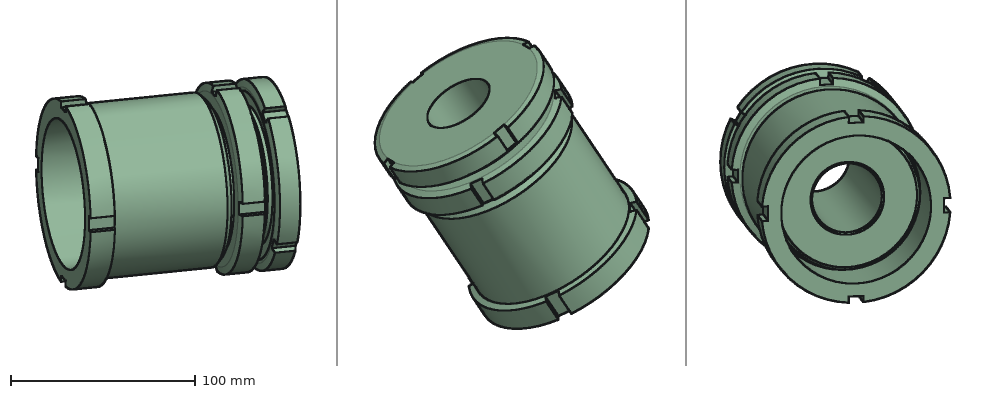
import cadquery as cq

TOTAL_LENGTH = 119.8
NOTCH_COUNT = 4
NOTCH_PITCH = 360.0 / NOTCH_COUNT
NOTCH_OVERCUT = 1.2
COLLAR_RADIUS = 52.5
THREAD_RADIUS = 40.4

SLEEVE_LENGTH = 82.1
SLEEVE_RADIUS = 47.9
SLEEVE_CHAMFER = 3.2
FLANGE_RADIUS = 52.3
FLANGE_WIDTH = 14.7
FLANGE_BEVEL = 1.0
FLANGE_FACE_RADIUS = 48.5
FLANGE_NOTCH_WIDTH = 8.0
FLANGE_NOTCH_FLOOR = 48.7
POCKET_RADIUS = 41.5
POCKET_DEPTH = 31.2

RING_START = 84.9
RING_WIDTH = 15.2
COLLAR_FACE_RADIUS = 48.2
COLLAR_BEVEL = 1.3
COLLAR_NOTCH_WIDTH = 7.2
COLLAR_NOTCH_FLOOR = 49.0

HEAD_WIDTH = 13.9
HEAD_FACE_RADIUS = 49.0
HEAD_REAR_BEVEL = 1.0
HEAD_RECESS_RADIUS = 46.3
HEAD_RECESS_DEPTH = 1.2
HEAD_NOTCH_ANGLE = 31.0
SPINDLE_START = 25.5
SPINDLE_CHAMFER = 1.8
NECK_RADIUS = 38.5
NECK_STEP_RADIUS = 38.8
NECK_WIDTH = 1.4
NECK_STEP_WIDTH = 1.0
NECK_RUNOUT = 1.0
BORE_RADIUS = 19.3
BORE_CHAMFER = 1.1


def revolve_about_y(profile):
    """Turn a closed (radius, y) outline about the Y axis."""
    return cq.Workplane("XY").polyline(profile).close().revolve(360, (0, 0, 0), (0, 1, 0))


def cut_notches(body, width, floor_radius, start, end, first_angle=0.0):
    """Cut axial notches around a rim, from the floor radius outward."""
    depth = COLLAR_RADIUS - floor_radius + NOTCH_OVERCUT
    for index in range(NOTCH_COUNT):
        notch = (
            cq.Workplane("XY")
            .box(width, end - start, depth, centered=(True, False, False))
            .translate((0, start, floor_radius))
            .rotate((0, 0, 0), (0, 1, 0), first_angle + index * NOTCH_PITCH)
        )
        body = body.cut(notch)
    return body


def make_sleeve():
    """Flanged sleeve with an open pocket in front of its threaded bore."""
    sleeve = revolve_about_y([
        (POCKET_RADIUS, 0),
        (FLANGE_RADIUS, 0),
        (FLANGE_RADIUS, FLANGE_WIDTH - FLANGE_BEVEL),
        (FLANGE_FACE_RADIUS, FLANGE_WIDTH),
        (SLEEVE_RADIUS, FLANGE_WIDTH),
        (SLEEVE_RADIUS, SLEEVE_LENGTH - SLEEVE_CHAMFER),
        (SLEEVE_RADIUS - SLEEVE_CHAMFER, SLEEVE_LENGTH),
        (THREAD_RADIUS, SLEEVE_LENGTH),
        (THREAD_RADIUS, POCKET_DEPTH),
        (POCKET_RADIUS, POCKET_DEPTH),
    ])
    return cut_notches(sleeve, FLANGE_NOTCH_WIDTH, FLANGE_NOTCH_FLOOR, 0, FLANGE_WIDTH)


def make_lock_ring():
    """Notched ring on the shank, bevelled on both faces."""
    end = RING_START + RING_WIDTH
    ring = revolve_about_y([
        (THREAD_RADIUS, RING_START),
        (COLLAR_FACE_RADIUS, RING_START),
        (COLLAR_RADIUS, RING_START + COLLAR_BEVEL),
        (COLLAR_RADIUS, end - COLLAR_BEVEL),
        (COLLAR_FACE_RADIUS, end),
        (THREAD_RADIUS, end),
    ])
    return cut_notches(ring, COLLAR_NOTCH_WIDTH, COLLAR_NOTCH_FLOOR, RING_START, end)


def make_spindle():
    """Hollow shank with a stepped undercut neck and a notched head recessed around the neck."""
    head_start = TOTAL_LENGTH - HEAD_WIDTH
    neck_start = head_start - NECK_WIDTH
    step_start = neck_start - NECK_STEP_WIDTH
    shank_end = step_start - NECK_RUNOUT
    spindle = revolve_about_y([
        (BORE_RADIUS + BORE_CHAMFER, SPINDLE_START),
        (THREAD_RADIUS - SPINDLE_CHAMFER, SPINDLE_START),
        (THREAD_RADIUS, SPINDLE_START + SPINDLE_CHAMFER),
        (THREAD_RADIUS, shank_end),
        (NECK_STEP_RADIUS, step_start),
        (NECK_RADIUS, neck_start),
        (NECK_RADIUS, head_start + HEAD_RECESS_DEPTH),
        (HEAD_RECESS_RADIUS, head_start + HEAD_RECESS_DEPTH),
        (HEAD_RECESS_RADIUS, head_start),
        (COLLAR_FACE_RADIUS, head_start),
        (COLLAR_RADIUS, head_start + COLLAR_BEVEL),
        (COLLAR_RADIUS, TOTAL_LENGTH - HEAD_REAR_BEVEL),
        (HEAD_FACE_RADIUS, TOTAL_LENGTH),
        (BORE_RADIUS, TOTAL_LENGTH),
        (BORE_RADIUS, SPINDLE_START + BORE_CHAMFER),
    ])
    return cut_notches(
        spindle, COLLAR_NOTCH_WIDTH, COLLAR_NOTCH_FLOOR, head_start, TOTAL_LENGTH, HEAD_NOTCH_ANGLE
    )


sleeve = make_sleeve()
lock_ring = make_lock_ring()
spindle = make_spindle()

result = cq.Compound.makeCompound([sleeve.val(), lock_ring.val(), spindle.val()])